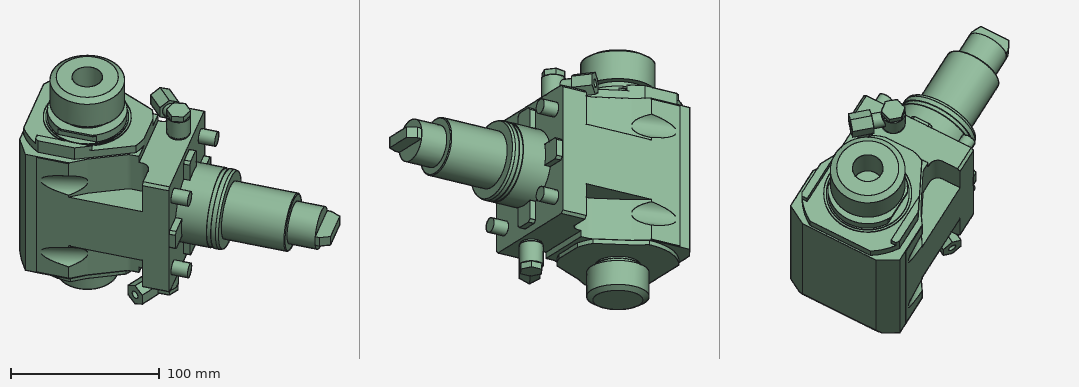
import cadquery as cq
import math


face_x = -39.0
half_width = 42.4
side_relief = 0.2
relief_end_x = -23.0
housing_top = 52.2
housing_bottom = -51.3
relief_rim = 0.6
housing_end_x = 43.0
face_half_width = 28.3
corner_run = 8.0
bottom_chamfer_height = 3.6
bottom_chamfer_depth = 2.1

flange_front_x = 51.3
flange_back_x = 69.9
flange_half_height = 46.9
flange_chamfer = 2.0
web_half_height = 21.7
pocket_start_x = -0.5
pocket_kink_x = 10.6
pocket_kink_y = 35.0
pocket_flat_x = 36.2
pocket_flat_y = 22.4
pocket_radius = 6.4

groove_z = 32.0
groove_radius = 10.2
groove_tilt = 13.8
groove_lift = 5.5
groove_outer_reach = 53.2
groove_inner_reach = 19.2

top_plate_left_x = -37.7
top_plate_radius = 44.3
top_plate_half_width = 37.7
top_plate_thickness = 6.2
top_plate_diagonal_x = 2.1
top_plate_slope = 0.49
bottom_plate_left_x = -35.0
bottom_plate_radius = 41.1
bottom_plate_thickness = 3.2
bottom_plate_right_x = 39.5
bottom_plate_setback = 0.9

rail_start_x = -25.5
rail_inner_y = 32.4
rail_height = 4.0

collar_radius = 26.8
collar_height = 6.4
collar_rim_height = 1.3
collar_rim_half_flat = 24.5
collar_half_flat = 23.2
ring_groove_outer_radius = 29.6
ring_groove_inner_radius = 28.0
ring_groove_depth = 0.6
upper_neck_radius = 19.2
upper_neck_height = 2.0
upper_shoulder_radius = 20.0
upper_shoulder_height = 4.3
upper_nut_radius = 25.1
upper_nut_height = 22.8
lower_neck_radius = 15.1
lower_neck_height = 1.7
lower_shoulder_radius = 16.2
lower_shoulder_height = 3.8
lower_nut_radius = 21.0
lower_nut_height = 20.0
nut_chamfer_height = 2.5
nut_chamfer_width = 4.3
bore_radius = 10.2
bore_depth = upper_nut_height

screw_spacing = 2 * groove_z
screw_radius = 5.1
screw_length = 11.5
key_width = 15.3
key_outer = 41.7
key_inner = 21.3
key_thickness = 4.5
key_chamfer = 2.0

shank_radius = 27.5
shank_groove_radius = 26.8
shank_groove_x = 91.8
shank_collar_x = 94.8
shank_collar_chamfer_x = 98.2
shank_collar_end_x = 100.1
shaft_radius = 20.0
shaft_end_x = 144.6
shaft_chamfer = 0.6
stub_radius = 14.7
stub_end_x = 164.2
tang_half_thickness = 3.8
tang_half_width = 14.0
tang_taper_x = 167.2
tang_end_x = 174.0
tang_end_half_width = 10.9

fitting_x = 59.9
fitting_y = 14.0
upper_arm_angle = 131.6
lower_arm_angle = 240.5
fitting_radius = 8.0
fitting_neck_radius = 7.2
fitting_neck_height = 1.5
fitting_height = 20.7
fitting_cap_height = 4.5
fitting_arm_height = 9.4
arm_radius = 5.1
arm_hex_start = 14.7
arm_length = 29.5
arm_hole_radius = 2.8
arm_hole_depth = 6.4

overlap = 1.0


def box(x0, x1, y0, y1, z0, z1):
    return cq.Workplane("XY").box(x1 - x0, y1 - y0, z1 - z0, centered=False).translate((x0, y0, z0))


def both_sides(shape):
    """The shape together with its mirror image across the XZ plane."""
    return shape.union(shape.mirror("XZ"))


def turned(points, axis_end):
    """Solid of revolution about the axis from the origin to axis_end in the XZ plane."""
    return cq.Workplane("XZ").polyline(points).close().revolve(360, (0, 0, 0), axis_end)


def housing_outline(width):
    return [
        (face_x, face_half_width),
        (face_x + corner_run, width),
        (housing_end_x, width),
        (housing_end_x, -width),
        (face_x + corner_run, -width),
        (face_x, -face_half_width),
    ]


def make_housing():
    height = housing_top - housing_bottom
    block = (
        cq.Workplane("XY", origin=(0, 0, housing_bottom))
        .polyline(housing_outline(half_width - side_relief)).close().extrude(height)
    )
    bevel = (
        cq.Workplane("XZ", origin=(0, half_width, 0))
        .polyline([
            (face_x, housing_bottom),
            (face_x, housing_bottom + bottom_chamfer_height),
            (face_x + bottom_chamfer_depth, housing_bottom),
        ]).close().extrude(2 * half_width)
    )
    pad = box(relief_end_x, housing_end_x, -half_width, half_width,
              housing_bottom + relief_rim, housing_top - relief_rim)
    flange = (
        box(flange_front_x, flange_back_x, -half_width, half_width, -flange_half_height, flange_half_height)
        .edges("|X").chamfer(flange_chamfer)
    )
    neck = box(housing_end_x, flange_front_x, -half_width, half_width,
               -flange_half_height, flange_half_height)
    return block.cut(bevel).union(pad).union(neck).union(flange)


def make_pocket():
    """Recess on the -Y side above the web, rounded at its two inner corners."""
    outside_y = -half_width - overlap
    depth = bottom_plate_thickness + housing_top - web_half_height
    inner_corners = cq.selectors.BoxSelector(
        (pocket_flat_x - overlap, -pocket_flat_y - overlap, web_half_height),
        (flange_front_x + overlap, -pocket_flat_y + overlap, web_half_height + depth))
    return (
        cq.Workplane("XY", origin=(0, 0, web_half_height))
        .moveTo(pocket_start_x, outside_y)
        .lineTo(pocket_start_x, -half_width)
        .lineTo(pocket_kink_x, -pocket_kink_y)
        .lineTo(pocket_flat_x, -pocket_flat_y)
        .lineTo(flange_front_x, -pocket_flat_y)
        .lineTo(flange_front_x, outside_y)
        .close().extrude(depth)
        .edges("|Z").edges(inner_corners).fillet(pocket_radius)
    )


def make_groove():
    """Inclined cylinder that scoops the -Y side at the height of a flange screw."""
    tilt = math.radians(groove_tilt)
    direction = cq.Vector(math.cos(tilt), math.sin(tilt), 0)
    outward = cq.Vector(math.sin(tilt), -math.cos(tilt), 0)
    middle = cq.Vector(pocket_start_x, -half_width, groove_z) + outward * groove_lift
    start = middle - direction * groove_outer_reach
    length = groove_outer_reach + groove_inner_reach
    return cq.Workplane(cq.Solid.makeCylinder(groove_radius, length, start, direction))


def make_top_plate():
    """Plate with round corners and a taper toward +X, with a rail left standing along each side."""
    plate_top = housing_top + top_plate_thickness
    rail_top = plate_top + rail_height
    end_y = top_plate_half_width - top_plate_slope * (housing_end_x - top_plate_diagonal_x)
    blank = (
        cq.Workplane("XY", origin=(0, 0, housing_top))
        .polyline([
            (top_plate_left_x, top_plate_half_width),
            (top_plate_diagonal_x, top_plate_half_width),
            (housing_end_x, end_y),
            (housing_end_x, -end_y),
            (top_plate_diagonal_x, -top_plate_half_width),
            (top_plate_left_x, -top_plate_half_width),
        ]).close().extrude(rail_top - housing_top)
    )
    disc = (
        cq.Workplane("XY", origin=(0, 0, housing_top))
        .circle(top_plate_radius).extrude(rail_top - housing_top)
    )
    above_plate = box(top_plate_left_x, housing_end_x, -half_width, half_width, plate_top, rail_top)
    rail_space = both_sides(box(rail_start_x, housing_end_x, rail_inner_y, half_width,
                                plate_top, rail_top))
    ring = (
        cq.Workplane("XY", origin=(0, 0, plate_top))
        .circle(ring_groove_outer_radius).circle(ring_groove_inner_radius).extrude(-ring_groove_depth)
    )
    return blank.intersect(disc).cut(above_plate.cut(rail_space)).cut(ring)


def make_bottom_plate():
    """Round plate cut straight at both X ends and set back a little from the side pockets."""
    plate_bottom = housing_bottom - bottom_plate_thickness
    disc = cq.Workplane("XY", origin=(0, 0, plate_bottom)).circle(bottom_plate_radius)
    slab = box(bottom_plate_left_x, bottom_plate_right_x, -half_width, half_width,
               plate_bottom, housing_bottom)
    clearance = both_sides(make_pocket()).mirror("XY").translate((-bottom_plate_setback, 0, 0))
    return disc.extrude(bottom_plate_thickness).intersect(slab).cut(clearance)


def make_nut(base_z, direction, neck_radius, neck_height, shoulder_radius, shoulder_height,
             nut_radius, nut_height):
    """Stepped neck and chamfered clamping nut that rise from base_z; direction is 1 up or -1 down."""
    seat = neck_height + shoulder_height
    end = seat + nut_height
    profile = [
        (0, -overlap),
        (neck_radius, -overlap),
        (neck_radius, neck_height),
        (shoulder_radius, neck_height),
        (shoulder_radius, seat),
        (nut_radius, seat),
        (nut_radius, end - nut_chamfer_height),
        (nut_radius - nut_chamfer_width, end),
        (0, end),
    ]
    return turned([(r, base_z + direction * h) for r, h in profile], (0, 1, 0))


def make_spindle():
    plate_top = housing_top + top_plate_thickness
    collar_top = plate_top + collar_height
    rim_bottom = collar_top - collar_rim_height
    flats = box(-half_width, half_width, -collar_half_flat, collar_half_flat, plate_top, rim_bottom).union(
        box(-half_width, half_width, -collar_rim_half_flat, collar_rim_half_flat, rim_bottom, collar_top))
    collar = cq.Workplane("XY", origin=(0, 0, plate_top)).circle(collar_radius)
    collar = collar.extrude(collar_height).intersect(flats)
    upper = make_nut(collar_top, 1, upper_neck_radius, upper_neck_height,
                     upper_shoulder_radius, upper_shoulder_height, upper_nut_radius, upper_nut_height)
    upper = upper.faces(">Z").workplane().circle(bore_radius).cutBlind(-bore_depth)
    lower = make_nut(housing_bottom - bottom_plate_thickness, -1, lower_neck_radius, lower_neck_height,
                     lower_shoulder_radius, lower_shoulder_height, lower_nut_radius, lower_nut_height)
    return collar.union(upper).union(lower)


def make_screws():
    return (
        cq.Workplane("YZ", origin=(flange_back_x - overlap, 0, 0))
        .rect(screw_spacing, screw_spacing, forConstruction=True).vertices()
        .circle(screw_radius).extrude(screw_length + overlap)
    )


def make_keys():
    """Four radial keys on the back of the flange, a quarter turn apart."""
    key = (
        box(flange_back_x - overlap, flange_back_x + key_thickness, -key_width / 2, key_width / 2,
            key_inner, key_outer)
        .faces(">Z").edges("|X").chamfer(key_chamfer)
    )
    keys = key
    for quarter in range(1, 4):
        keys = keys.union(key.rotate((0, 0, 0), (1, 0, 0), 90 * quarter))
    return keys


def make_shank():
    profile = [
        (flange_back_x - overlap, 0),
        (flange_back_x - overlap, shank_radius),
        (shank_groove_x, shank_radius),
        (shank_groove_x, shank_groove_radius),
        (shank_collar_x, shank_groove_radius),
        (shank_collar_x, shank_radius),
        (shank_collar_chamfer_x, shank_radius),
        (shank_collar_end_x, shank_groove_radius),
        (shank_collar_end_x, shaft_radius),
        (shaft_end_x - shaft_chamfer, shaft_radius),
        (shaft_end_x, shaft_radius - shaft_chamfer),
        (shaft_end_x, stub_radius),
        (stub_end_x, stub_radius),
        (stub_end_x, 0),
    ]
    tang = (
        cq.Workplane("XY", origin=(0, 0, -tang_half_thickness))
        .polyline([
            (stub_end_x - overlap, tang_half_width),
            (tang_taper_x, tang_half_width),
            (tang_end_x, tang_end_half_width),
            (tang_end_x, -tang_end_half_width),
            (tang_taper_x, -tang_half_width),
            (stub_end_x - overlap, -tang_half_width),
        ]).close().extrude(2 * tang_half_thickness)
    )
    return turned(profile, (1, 0, 0)).union(tang)


def make_fitting(center_y, arm_angle):
    """Elbow fitting on top of the flange; its arm points at arm_angle degrees from +X."""
    cap_base = fitting_height - fitting_cap_height
    neck = (
        cq.Workplane("XY", origin=(0, 0, -overlap))
        .circle(fitting_neck_radius).extrude(fitting_neck_height + 2 * overlap)
    )
    barrel = (
        cq.Workplane("XY", origin=(0, 0, fitting_neck_height))
        .circle(fitting_radius).extrude(cap_base - fitting_neck_height)
    )
    cap = (
        cq.Workplane("XY", origin=(0, 0, cap_base))
        .polygon(6, 2 * fitting_radius).extrude(fitting_cap_height)
    )
    axis = cq.Workplane("YZ", origin=(0, 0, fitting_arm_height))
    arm = axis.circle(arm_radius).extrude(arm_hex_start + overlap)
    hexagon = (
        axis.workplane(offset=arm_hex_start)
        .transformed(rotate=(0, 0, 90)).polygon(6, 2 * fitting_radius).extrude(arm_length - arm_hex_start)
        .faces(">X").workplane().circle(arm_hole_radius).cutBlind(-arm_hole_depth)
    )
    fitting = neck.union(barrel).union(cap).union(arm).union(hexagon)
    return (
        fitting.rotate((0, 0, 0), (0, 0, 1), arm_angle)
        .translate((fitting_x, center_y, flange_half_height))
    )


recesses = both_sides(make_pocket().union(make_groove()))
recesses = recesses.union(recesses.mirror("XY"))

result = make_housing().union(make_bottom_plate()).cut(recesses)
result = result.union(make_top_plate()).union(make_spindle())
result = result.union(make_shank()).union(make_screws()).union(make_keys())
result = result.union(make_fitting(fitting_y, upper_arm_angle))
result = result.union(make_fitting(-fitting_y, lower_arm_angle).mirror("XY"))